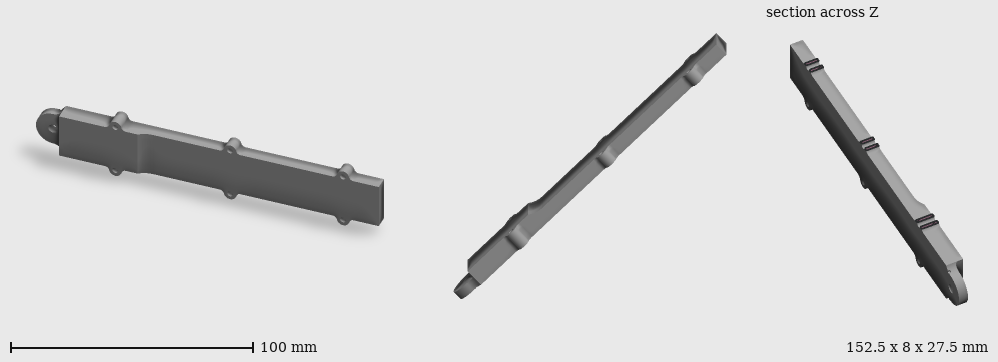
import cadquery as cq
import math

length = 152.5
height = 27.5
thick = 8.0
thin = 6.0

bar_height = 20.0
bar_start = 11.7
ramp_start = 46.5
ramp_run = 6.0

boss_radius = 2.7
boss_hole_radius = 1.25
boss_blend_radius = 2.0
boss_first_x = 36.6
boss_pitch = 50.0
boss_columns = 3
boss_z = height / 2 - boss_radius

lug_radius = 7.5
lug_thick = 4.1
lug_hole_radius = 2.0
lug_fillet = 1.2

notch_start = 9.0
notch_width = 1.2
notch_depth = 1.0
notch_floor_z = 7.3

half_bar = bar_height / 2


def tangent_arc_middle(run, rise):
    """Middle point of an arc that starts along the run and climbs by the rise."""
    radius = (run ** 2 + rise ** 2) / (2 * rise)
    half_angle = math.asin(run / radius) / 2
    return radius * math.sin(half_angle), radius * (1 - math.cos(half_angle))


def make_bar():
    """Full-depth rectangular bar."""
    bar_length = length - bar_start
    bar_middle = bar_start + bar_length / 2
    return cq.Workplane("XZ").center(bar_middle, 0).rect(bar_length, bar_height).extrude(thick)


def make_lug():
    """Round lug whose neck flares in two concave arcs to the full bar height."""
    run = bar_start - lug_radius
    rise = half_bar - lug_radius
    mid_run, mid_rise = tangent_arc_middle(run, rise)
    middle_x = lug_radius + mid_run
    middle_z = lug_radius + mid_rise
    fillet_top = lug_thick + lug_fillet
    lug = (
        cq.Workplane("XZ")
        .moveTo(lug_radius, lug_radius)
        .threePointArc((0, 0), (lug_radius, -lug_radius))
        .threePointArc((middle_x, -middle_z), (bar_start, -half_bar))
        .lineTo(bar_start, half_bar)
        .threePointArc((middle_x, middle_z), (lug_radius, lug_radius))
        .close()
        .extrude(fillet_top)
    )
    relief = (
        cq.Workplane("XY")
        .moveTo(0, -lug_thick)
        .lineTo(bar_start - lug_fillet, -lug_thick)
        .radiusArc((bar_start, -fillet_top), lug_fillet)
        .lineTo(0, -fillet_top)
        .close()
        .extrude(half_bar, both=True)
    )
    return lug.cut(relief)


def make_boss(x, side):
    """Boss with concave blends on the bar's top (side = 1) or bottom (side = -1) edge."""
    reach = boss_radius + boss_blend_radius
    blend_z = half_bar + boss_blend_radius
    blend_x = math.sqrt(reach ** 2 - (blend_z - boss_z) ** 2)
    touch_x = blend_x * boss_radius / reach
    touch_z = boss_z + (blend_z - boss_z) * boss_radius / reach
    touch_angle = math.atan2(touch_z - blend_z, touch_x - blend_x) % (2 * math.pi)
    middle_angle = (touch_angle + 1.5 * math.pi) / 2
    middle_x = blend_x + boss_blend_radius * math.cos(middle_angle)
    middle_z = blend_z + boss_blend_radius * math.sin(middle_angle)
    return (
        cq.Workplane("XZ")
        .moveTo(x - blend_x, 0)
        .lineTo(x - blend_x, side * half_bar)
        .threePointArc((x - middle_x, side * middle_z), (x - touch_x, side * touch_z))
        .threePointArc((x, side * height / 2), (x + touch_x, side * touch_z))
        .threePointArc((x + middle_x, side * middle_z), (x + blend_x, side * half_bar))
        .lineTo(x + blend_x, 0)
        .close()
        .extrude(thick)
    )


def make_front_relief():
    """Cutter in front of the thin stretch, with a concave ramp up to the thick end."""
    ramp_end = ramp_start + ramp_run
    mid_run, mid_rise = tangent_arc_middle(ramp_run, thick - thin)
    return (
        cq.Workplane("XY")
        .moveTo(ramp_start, -thick)
        .threePointArc((ramp_end - mid_run, -thin - mid_rise), (ramp_end, -thin))
        .lineTo(length, -thin)
        .lineTo(length, -thick)
        .close()
        .extrude(height, both=True)
    )


def make_hole(x, z, radius):
    """Cutter for a round hole through the full depth."""
    return cq.Workplane("XZ").center(x, z).circle(radius).extrude(thick)


def make_notch(side):
    """Cutter for the notch in the neck's upper (side = 1) or lower (side = -1) back edge."""
    notch_height = half_bar - notch_floor_z
    notch_center = (
        notch_start + notch_width / 2,
        -notch_depth / 2,
        side * (notch_floor_z + notch_height / 2),
    )
    return cq.Workplane("XY").box(notch_width, notch_depth, notch_height).translate(notch_center)


boss_places = [
    (boss_first_x + column * boss_pitch, side)
    for column in range(boss_columns)
    for side in (-1, 1)
]

result = make_bar().union(make_lug())
for x, side in boss_places:
    result = result.union(make_boss(x, side))

result = result.cut(make_front_relief())
for x, side in boss_places:
    result = result.cut(make_hole(x, side * boss_z, boss_hole_radius))

result = result.cut(make_hole(lug_radius, 0, lug_hole_radius))
for side in (-1, 1):
    result = result.cut(make_notch(side))